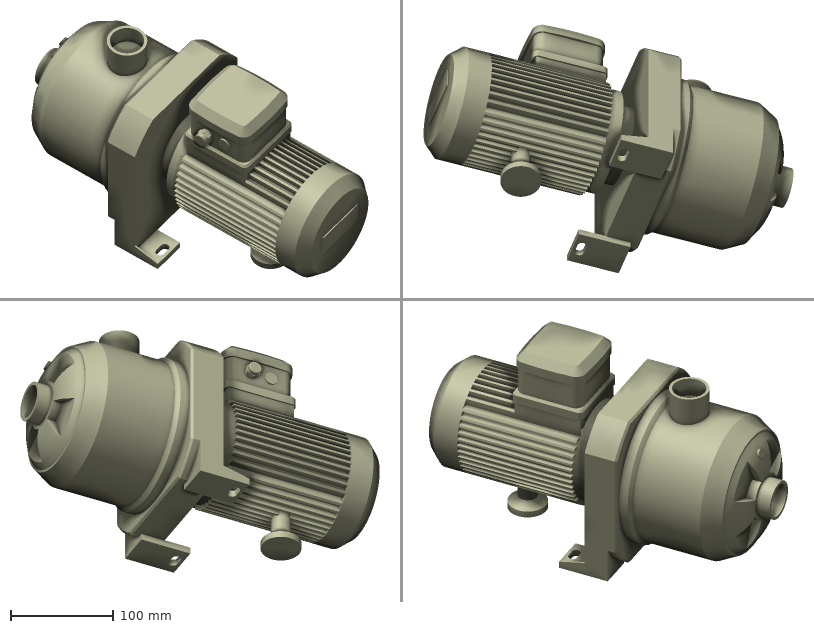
import cadquery as cq
import math


SUCTION_END = 14.5
POCKET_FLOOR_X = 24.2
DOME_END = 29.5
CONE_END = 49.0
SLEEVE_END = 122.0
COLLAR_START = 126.5
COLLAR_END = 136.0
PLATE_END = 146.0
BRACKET_END = 171.0
NECK_END = 186.3
FRAME_START = 199.3
FRAME_END = 324.0
COVER_TAPER_START = 348.0
COVER_END = 360.0
OVERALL_LENGTH = 361.0

SUCTION_DIAMETER = 40.0
DISCHARGE_DIAMETER = 39.7
NOZZLE_BORE = 33.5
DISCHARGE_X = 98.2
DISCHARGE_TOP = 102.5
DISCHARGE_DEPTH = 20.0
DOME_INNER_RADIUS = 24.5
DOME_MID_X = 18.5
DOME_MID_RADIUS = 44.8
DOME_OUTER_RADIUS = 61.7
CONE_START_RADIUS = 64.3
SLEEVE_DIAMETER = 149.0
COLLAR_DIAMETER = 156.5
POCKET_COUNT = 4
POCKET_ANGLE = 45.0

PLUG_DIAMETER = 10.0
PLUG_TILT = 22.0
PLUG_LENGTH = 7.2
PLUG_FACE_X = 18.5
PLUG_FACE_Z = 49.5

PLATE_SIZE = 166.0
PLATE_CORNER_DIAMETER = 198.0
PLATE_CHAMFER = 2.0
BASE_Z = -90.0
FOOT_GAP = 94.0
FOOT_END_HEIGHT = 7.2
FOOT_RIB_HEIGHT = 14.0
FOOT_RIB_THICKNESS = 1.8
SLOT_X = 191.5
SLOT_Y = 65.0
SLOT_LENGTH = 16.5
SLOT_WIDTH = 9.0

NECK_DIAMETER = 79.5
CORE_DIAMETER = 103.5
MOTOR_DIAMETER = 113.7
OUTER_RIB_OFFSET = 35.5
RIB_THICKNESS = 2.0
RIBS_EACH_SIDE = 5
COVER_END_DIAMETER = 93.0
END_LABEL_WIDTH = 56.0
END_LABEL_HEIGHT = 23.0
END_LABEL_Z = 3.0

BOX_X = 235.5
BOX_SIZE = 72.0
BOX_RADIUS = 9.7
PAD_WIDTH = 73.5
PAD_BOTTOM = 43.7
PAD_TOP = MOTOR_DIAMETER / 2
BOX_FLANGE_SIZE = 77.3
BOX_FLANGE_HEIGHT = 11.0
BOX_FLANGE_RADIUS = 5.5
BOX_FLANGE_CHAMFER = 2.0
LID_BOTTOM = 96.0
LID_TOP = 113.7
LID_CHAMFER = 8.0
LID_HALF = 37.5
LID_BULGE = 1.0
LID_RADIUS = 11.0
ENTRY_Z = 82.0
ENTRY_DIAMETER = 13.5
GLAND_X = 224.2
KNOCKOUT_X = 246.0
ENTRY_BOSS_HEIGHT = 1.8
GLAND_HEX_LENGTH = 5.0
GLAND_LENGTH = 9.7
GLAND_CHAMFER = 0.7

SUPPORT_X = 275.0
STEM_DIAMETER = 20.0
STEM_TOP = -50.5
SUPPORT_DISC_DIAMETER = 40.0
SUPPORT_DISC_HEIGHT = 7.0
SUPPORT_CONE_HEIGHT = 6.5


def rod(diameter, start, end):
    """Cylinder on the shaft axis between two X stations."""
    return cq.Workplane("YZ").workplane(offset=start).circle(diameter / 2).extrude(end - start)


def block(x_range, y_range, z_range):
    """Box given by its lower and upper limits along each axis."""
    sizes = [high - low for low, high in (x_range, y_range, z_range)]
    corner = (x_range[0], y_range[0], z_range[0])
    return cq.Workplane("XY").box(*sizes, centered=False).translate(corner)


def make_vent_plug():
    """Plug in the upper spoke of the dome, its outer face tilted upward."""
    tilt = math.radians(PLUG_TILT)
    axis = (-math.cos(tilt), 0, math.sin(tilt))
    inner_end = (PLUG_FACE_X - PLUG_LENGTH * axis[0], 0, PLUG_FACE_Z - PLUG_LENGTH * axis[2])
    plane = cq.Plane(origin=inner_end, xDir=(0, 1, 0), normal=axis)
    return cq.Workplane(plane).circle(PLUG_DIAMETER / 2).extrude(PLUG_LENGTH)


def make_dome_pockets():
    """Wedges between the four spokes of the dome."""
    half = math.radians(POCKET_ANGLE / 2)
    reach = SLEEVE_DIAMETER / 2
    corner_y = reach * math.sin(half)
    corner_z = reach * math.cos(half)
    wedge = (
        cq.Workplane("YZ")
        .polyline([(0, 0), (-corner_y, corner_z), (corner_y, corner_z)])
        .close()
        .extrude(POCKET_FLOOR_X)
        .cut(rod(2 * DOME_INNER_RADIUS, 0, POCKET_FLOOR_X))
    )
    pockets = cq.Workplane("XY")
    for index in range(POCKET_COUNT):
        angle = (index + 0.5) * 360 / POCKET_COUNT
        pockets = pockets.add(wedge.rotate((0, 0, 0), (1, 0, 0), angle))
    return pockets.combine()


def make_casing(vent_plug):
    """Dome, sleeve and collar with the suction and discharge nozzles."""
    casing = (
        cq.Workplane("XZ")
        .moveTo(SUCTION_END, 0)
        .lineTo(SUCTION_END, DOME_INNER_RADIUS)
        .threePointArc((DOME_MID_X, DOME_MID_RADIUS), (DOME_END, DOME_OUTER_RADIUS))
        .lineTo(DOME_END, CONE_START_RADIUS)
        .lineTo(CONE_END, SLEEVE_DIAMETER / 2)
        .lineTo(SLEEVE_END, SLEEVE_DIAMETER / 2)
        .lineTo(COLLAR_START, COLLAR_DIAMETER / 2)
        .lineTo(COLLAR_END, COLLAR_DIAMETER / 2)
        .lineTo(COLLAR_END, 0)
        .close()
        .revolve(360, (0, 0, 0), (1, 0, 0))
    )
    discharge = cq.Workplane("XY").center(DISCHARGE_X, 0)
    discharge_bore = discharge.workplane(offset=DISCHARGE_TOP - DISCHARGE_DEPTH)
    return (
        casing.cut(make_dome_pockets())
        .union(rod(SUCTION_DIAMETER, 0, SUCTION_END))
        .union(discharge.circle(DISCHARGE_DIAMETER / 2).extrude(DISCHARGE_TOP))
        .cut(rod(NOZZLE_BORE, 0, SUCTION_END))
        .cut(discharge_bore.circle(NOZZLE_BORE / 2).extrude(DISCHARGE_DEPTH))
        .cut(vent_plug)
    )


def round_cornered_square(start, end):
    """Square slab across the shaft whose corners lie on a circle."""
    square = cq.Workplane("YZ").workplane(offset=start).rect(PLATE_SIZE, PLATE_SIZE).extrude(end - start)
    return square.intersect(rod(PLATE_CORNER_DIAMETER, start, end))


def make_clamp_plate():
    return round_cornered_square(COLLAR_END, PLATE_END).faces("<X").chamfer(PLATE_CHAMFER)


def make_bracket_foot():
    """Foot on the +Y side: slotted floor with a sloping rib along its outer edge."""
    outer = PLATE_SIZE / 2
    floor_top = BASE_Z + FOOT_END_HEIGHT
    floor = block((BRACKET_END, FRAME_START), (FOOT_GAP / 2, outer), (BASE_Z, floor_top))
    rib = (
        cq.Workplane("XZ", origin=(0, outer, 0))
        .polyline([
            (BRACKET_END, BASE_Z),
            (FRAME_START, BASE_Z),
            (FRAME_START, floor_top),
            (BRACKET_END, BASE_Z + FOOT_RIB_HEIGHT),
        ])
        .close()
        .extrude(FOOT_RIB_THICKNESS)
    )
    slot = (
        cq.Workplane("XY", origin=(SLOT_X, SLOT_Y, BASE_Z))
        .slot2D(SLOT_LENGTH, SLOT_WIDTH, 90)
        .extrude(FOOT_END_HEIGHT)
    )
    return floor.union(rib).cut(slot)


def make_bracket():
    half = PLATE_SIZE / 2
    thickness = (PLATE_END, BRACKET_END)
    foot = make_bracket_foot()
    return (
        round_cornered_square(*thickness)
        .union(block(thickness, (-half, half), (BASE_Z, 0)))
        .cut(block(thickness, (-FOOT_GAP / 2, FOOT_GAP / 2), (BASE_Z, -half)))
        .union(foot)
        .union(foot.mirror("XZ"))
    )


def make_motor(support_foot):
    """Neck and ribbed frame: ribs are level on the sides and upright above and below."""
    frame = (FRAME_START, FRAME_END)
    half_span = MOTOR_DIAMETER / 2
    span = (-half_span, half_span)
    ribs = cq.Workplane("XY")
    for index in range(-RIBS_EACH_SIDE, RIBS_EACH_SIDE + 1):
        centre = index * OUTER_RIB_OFFSET / RIBS_EACH_SIDE
        band = (centre - RIB_THICKNESS / 2, centre + RIB_THICKNESS / 2)
        ribs = ribs.union(block(frame, span, band)).union(block(frame, band, span))
    ribs = ribs.intersect(rod(MOTOR_DIAMETER, *frame))
    pad = block(
        (BOX_X - BOX_SIZE / 2, BOX_X + BOX_SIZE / 2),
        (-PAD_WIDTH / 2, PAD_WIDTH / 2),
        (PAD_BOTTOM, PAD_TOP),
    )
    return (
        rod(NECK_DIAMETER, BRACKET_END, NECK_END)
        .union(rod(CORE_DIAMETER, NECK_END, FRAME_END))
        .union(ribs)
        .union(pad)
        .cut(support_foot)
    )


def make_fan_cover():
    label = (
        cq.Workplane("YZ", origin=(COVER_END, 0, END_LABEL_Z))
        .rect(END_LABEL_WIDTH, END_LABEL_HEIGHT)
        .extrude(OVERALL_LENGTH - COVER_END)
    )
    return (
        cq.Workplane("XZ")
        .moveTo(FRAME_END, 0)
        .lineTo(FRAME_END, MOTOR_DIAMETER / 2)
        .lineTo(COVER_TAPER_START, MOTOR_DIAMETER / 2)
        .lineTo(COVER_END, COVER_END_DIAMETER / 2)
        .lineTo(COVER_END, 0)
        .close()
        .revolve(360, (0, 0, 0), (1, 0, 0))
        .union(label)
    )


def make_terminal_box():
    """Box on a chamfered flange, with two round cable entries on its -Y wall."""
    flange = (
        cq.Workplane("XY", origin=(BOX_X, 0, PAD_TOP))
        .rect(BOX_FLANGE_SIZE, BOX_FLANGE_SIZE)
        .extrude(BOX_FLANGE_HEIGHT)
        .edges("|Z")
        .fillet(BOX_FLANGE_RADIUS)
        .faces(">Z")
        .chamfer(BOX_FLANGE_CHAMFER)
    )
    walls = (
        cq.Workplane("XY", origin=(BOX_X, 0, PAD_TOP))
        .rect(BOX_SIZE, BOX_SIZE)
        .extrude(LID_BOTTOM - PAD_TOP)
        .edges("|Z")
        .fillet(BOX_RADIUS)
    )
    entry_bosses = (
        cq.Workplane("XZ", origin=(0, -BOX_SIZE / 2, ENTRY_Z))
        .pushPoints([(GLAND_X, 0), (KNOCKOUT_X, 0)])
        .circle(ENTRY_DIAMETER / 2)
        .extrude(ENTRY_BOSS_HEIGHT)
    )
    return flange.union(walls).union(entry_bosses)


def make_lid():
    """Lid with slightly bulging sides, rounded corners and a broad top chamfer."""
    side = LID_HALF
    bulge = LID_HALF + LID_BULGE
    tangent = LID_HALF - LID_RADIUS
    corner = tangent + LID_RADIUS * math.sqrt(0.5)
    return (
        cq.Workplane("XY", origin=(BOX_X, 0, LID_BOTTOM))
        .moveTo(side, -tangent)
        .threePointArc((bulge, 0), (side, tangent))
        .threePointArc((corner, corner), (tangent, side))
        .threePointArc((0, bulge), (-tangent, side))
        .threePointArc((-corner, corner), (-side, tangent))
        .threePointArc((-bulge, 0), (-side, -tangent))
        .threePointArc((-corner, -corner), (-tangent, -side))
        .threePointArc((0, -bulge), (tangent, -side))
        .threePointArc((corner, -corner), (side, -tangent))
        .close()
        .extrude(LID_TOP - LID_BOTTOM)
        .faces(">Z")
        .chamfer(LID_CHAMFER)
    )


def make_cable_gland():
    """Hexagon with two corners up and down, carrying a round cap with a chamfered end."""
    base = cq.Workplane("XZ", origin=(GLAND_X, -BOX_SIZE / 2 - ENTRY_BOSS_HEIGHT, ENTRY_Z))
    corner_diameter = ENTRY_DIAMETER / math.cos(math.pi / 6)
    hexagon = (
        base.polygon(6, corner_diameter)
        .extrude(GLAND_HEX_LENGTH)
        .rotate((GLAND_X, 0, ENTRY_Z), (GLAND_X, 1, ENTRY_Z), 90)
    )
    cap = base.circle(ENTRY_DIAMETER / 2).extrude(GLAND_LENGTH).faces("<Y").chamfer(GLAND_CHAMFER)
    return hexagon.union(cap)


def make_support_foot():
    disc_top = BASE_Z + SUPPORT_DISC_HEIGHT
    cone_top = disc_top + SUPPORT_CONE_HEIGHT
    return (
        cq.Workplane("XZ", origin=(SUPPORT_X, 0, 0))
        .moveTo(0, BASE_Z)
        .lineTo(SUPPORT_DISC_DIAMETER / 2, BASE_Z)
        .lineTo(SUPPORT_DISC_DIAMETER / 2, disc_top)
        .lineTo(STEM_DIAMETER / 2, cone_top)
        .lineTo(STEM_DIAMETER / 2, STEM_TOP)
        .lineTo(0, STEM_TOP)
        .close()
        .revolve(360, (0, 0, 0), (0, 1, 0))
    )


vent_plug = make_vent_plug()
casing = make_casing(vent_plug)
clamp_plate = make_clamp_plate()
bracket = make_bracket()
support_foot = make_support_foot()
motor = make_motor(support_foot)
fan_cover = make_fan_cover()
terminal_box = make_terminal_box()
lid = make_lid()
cable_gland = make_cable_gland()

result = cq.Compound.makeCompound([
    casing.val(),
    vent_plug.val(),
    clamp_plate.val(),
    bracket.val(),
    motor.val(),
    fan_cover.val(),
    terminal_box.val(),
    lid.val(),
    cable_gland.val(),
    support_foot.val(),
])